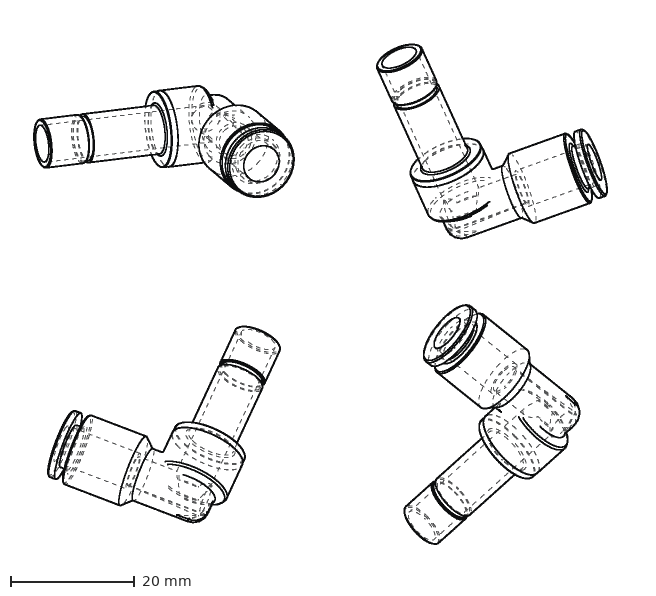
import cadquery as cq


overall_width = 28.45
overall_length = 35.5

elbow_radius = 9.0 / 2
elbow_corner_radius = 2.5

sleeve_radius = 12.5 / 2
sleeve_top = -0.18
sleeve_bottom = -8.35
shoulder_inner_radius = 4.65
shoulder_inner_y = -0.57
shoulder_outer_radius = 6.0
shoulder_outer_y = -1.35
shoulder_end_y = -1.78
sleeve_blend_radius = 0.25
collar_radius = 12.4 / 2
collar_bottom = -9.48
collar_chamfer = 0.1

stem_radius = 7.95 / 2
stem_flare_radius = 4.33
stem_flare_length = 0.25
stem_end_chamfer = 0.18
stem_groove_radius = 7.2 / 2
stem_groove_top = -22.0
stem_groove_bottom = -22.8
groove_lip_radius = 3.85
groove_lip_length = 0.18

socket_radius = 12.0 / 2
stem_end = socket_radius - overall_length
socket_cone_start = 8.1
socket_cone_end = 9.5
socket_cone_small_radius = 4.7
socket_blend_length = 0.3
socket_end = 19.45
socket_chamfer = 0.2
neck_radius = 7.3 / 2
neck_flare_radius = 4.2
neck_flare_length = 0.25
ring_radius = 11.5 / 2
ring_start = 20.9
ring_end = overall_width - sleeve_radius
ring_chamfer = 0.25

stem_bore_radius = 6.0 / 2
branch_bore_radius = 5.0 / 2
stem_bore_top = -0.35
branch_bore_start = -3.2
tube_bore_radius = 6.15 / 2
tube_stop = socket_cone_end


def cylinder_x(radius, start, end):
    return cq.Workplane("YZ").workplane(offset=start).circle(radius).extrude(end - start)


def cylinder_y(radius, bottom, top):
    return cq.Workplane("XZ").workplane(offset=-top).circle(radius).extrude(top - bottom)


def turned_about_x(points):
    """Revolve (x, radius) points about the branch axis."""
    return cq.Workplane("XY").polyline(points).close().revolve(360, (0, 0), (1, 0))


def turned_about_y(points):
    """Revolve (radius, y) points about the stem axis."""
    return cq.Workplane("XY").polyline(points).close().revolve(360, (0, 0), (0, 1))


def make_elbow_corner():
    """Outer quadrant of the mitred elbow, with the mitre edge rounded."""
    size = 2 * elbow_radius
    quadrant = cq.Workplane("XY").box(size, size, size).translate((-elbow_radius, elbow_radius, 0))
    corner = (
        cylinder_x(elbow_radius, -size, size)
        .intersect(cylinder_y(elbow_radius, -size, size))
        .intersect(quadrant)
    )
    outer_mitre = cq.selectors.NearestToPointSelector((-elbow_radius, elbow_radius, 0))
    return corner.edges(outer_mitre).fillet(elbow_corner_radius)


def outside_faces(half):
    """Faces of half an elbow, leaving out the half discs where the two halves meet."""
    gap = elbow_radius / 100
    x_joint = cq.selectors.BoxSelector(
        (-gap, gap, -elbow_radius), (gap, elbow_radius, elbow_radius)
    )
    y_joint = cq.selectors.BoxSelector(
        (-elbow_radius, -gap, -elbow_radius), (-gap, gap, elbow_radius)
    )
    joints = half.faces("%PLANE").faces(x_joint + y_joint).vals()
    return [face for face in half.faces().vals() if not any(face.isSame(joint) for joint in joints)]


def join_elbow(arms, corner):
    """Sew the corner onto the arms along their shared half circles."""
    shell = cq.Shell.makeShell(outside_faces(arms) + outside_faces(corner))
    return cq.Workplane(cq.Solid.makeSolid(shell))


def make_sleeve():
    """Plain sleeve with a sloping shoulder at its elbow end."""
    return turned_about_y([
        (0, sleeve_top),
        (elbow_radius, sleeve_top),
        (shoulder_inner_radius, shoulder_inner_y),
        (shoulder_outer_radius, shoulder_outer_y),
        (sleeve_radius, shoulder_end_y),
        (sleeve_radius, sleeve_bottom),
        (0, sleeve_bottom),
    ])


def make_stem():
    """Collar and grooved plug-in stem."""
    return turned_about_y([
        (0, sleeve_bottom),
        (collar_radius, sleeve_bottom),
        (collar_radius, collar_bottom + collar_chamfer),
        (collar_radius - collar_chamfer, collar_bottom),
        (stem_flare_radius, collar_bottom),
        (stem_radius, collar_bottom - stem_flare_length),
        (stem_radius, stem_groove_top),
        (stem_groove_radius, stem_groove_top),
        (stem_groove_radius, stem_groove_bottom),
        (groove_lip_radius, stem_groove_bottom),
        (stem_radius, stem_groove_bottom - groove_lip_length),
        (stem_radius, stem_end + stem_end_chamfer),
        (stem_radius - stem_end_chamfer, stem_end),
        (0, stem_end),
    ])


def make_socket():
    """Conical entry, socket body, neck and release ring."""
    return turned_about_x([
        (socket_cone_start - socket_blend_length, 0),
        (socket_cone_start - socket_blend_length, elbow_radius),
        (socket_cone_start, socket_cone_small_radius),
        (socket_cone_end, socket_radius),
        (socket_end - socket_chamfer, socket_radius),
        (socket_end, socket_radius - socket_chamfer),
        (socket_end, neck_flare_radius),
        (socket_end + neck_flare_length, neck_radius),
        (ring_start, neck_radius),
        (ring_start, ring_radius),
        (ring_end - ring_chamfer, ring_radius),
        (ring_end, ring_radius - ring_chamfer),
        (ring_end, 0),
    ])


def make_arms():
    """Both elbow arms and the sleeve, blended where the sleeve meets the branch arm."""
    arms = (
        cylinder_x(elbow_radius, 0, socket_cone_start)
        .union(cylinder_y(elbow_radius, sleeve_bottom, 0))
        .union(make_sleeve())
    )
    seam_region = cq.selectors.BoxSelector(
        (0, -elbow_radius, -elbow_radius), (sleeve_radius, sleeve_top, elbow_radius)
    )
    return arms.edges("%BSPLINE").edges(seam_region).fillet(sleeve_blend_radius)


body = join_elbow(make_arms(), make_elbow_corner()).union(make_stem()).union(make_socket())
passages = (
    cylinder_y(stem_bore_radius, stem_end, stem_bore_top)
    .union(cylinder_x(branch_bore_radius, branch_bore_start, ring_end))
    .union(cylinder_x(tube_bore_radius, tube_stop, ring_end))
)
result = body.cut(passages)